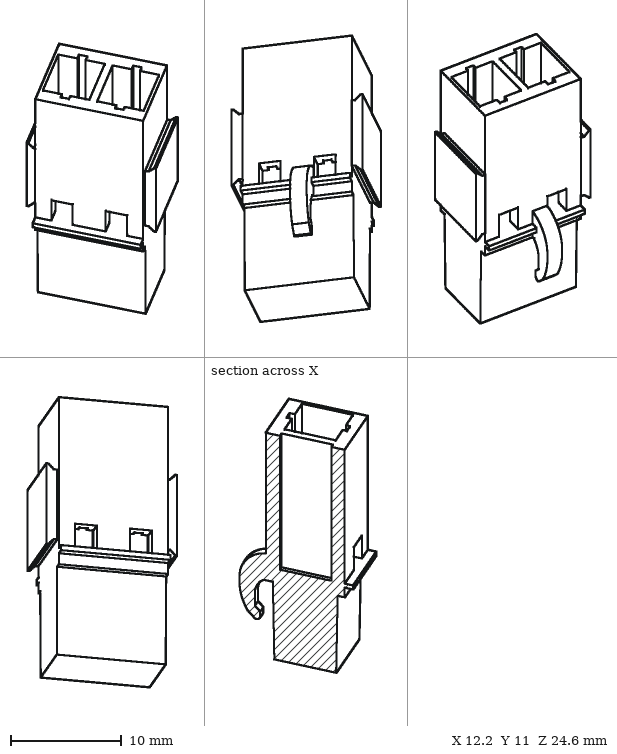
import cadquery as cq

total_height = 24.55
body_width = 10.15
body_depth = 7.64
body_bottom = 8.42
half_width = body_width / 2
back_y = body_depth / 2
front_y = -back_y

foot_inset_top = 0.66
foot_inset_bottom = 0.8

flange_bottom = 9.48
flange_top = 9.97
flange_front_reach = 0.8
flange_back_reach = 0.7

bay_floor = flange_top
bay_width = 4.37
bay_depth = 4.93
bay_front_wall = 1.3
bay_partition = 0.74
bay_pitch = bay_width + bay_partition
bay_centers = (-bay_pitch / 2, bay_pitch / 2)
key_width = 0.79
key_span = 5.85

window_width = 2.01
window_height = 2.5

rail_reach = 1.0
rail_edge = 0.17
rail_neck = 0.32
rail_undercut = 0.52
rail_bottom = 10.53
rail_top = 18.31
rail_front_setback = 0.65
rail_back_overhang = 0.07

hook_width = 1.55
hook_center_x = -0.74
hook_reach = 2.55
hook_top = 11.42
hook_crown_end = 8.47
hook_flank_start = 7.25
hook_gap = 1.03
hook_inner_top = 7.0
hook_inner_bottom = 5.45
hook_tip_gap = 0.52
hook_tip_bottom = 4.0
hook_root = 0.25


def block(x_size, y_min, y_max, z_min, z_max, x_center=0.0):
    """Box centred on x_center, given by its Y and Z limits."""
    size = (x_size, y_max - y_min, z_max - z_min)
    corner = (x_center - x_size / 2, y_min, z_min)
    return cq.Workplane("XY").box(*size, centered=False).translate(corner)


def make_foot():
    top_y = back_y - foot_inset_top
    bottom_y = back_y - foot_inset_bottom
    outline = [(-bottom_y, 0), (bottom_y, 0), (top_y, body_bottom), (-top_y, body_bottom)]
    return cq.Workplane("YZ").polyline(outline).close().extrude(half_width, both=True)


def make_rail():
    """Rail on the +X side; its section lies in the XZ plane."""
    outer_x = half_width + rail_reach
    neck_x = half_width + rail_neck
    outline = [
        (half_width, rail_bottom + rail_undercut),
        (neck_x, rail_bottom + rail_undercut),
        (outer_x - rail_edge, rail_bottom),
        (outer_x, rail_bottom),
        (outer_x, rail_top),
        (outer_x - rail_edge, rail_top),
        (neck_x, rail_top - rail_undercut),
        (half_width, rail_top - rail_undercut),
    ]
    rail_back = back_y + rail_back_overhang
    rail_length = rail_back - (front_y + rail_front_setback)
    section = cq.Workplane("XZ", origin=(0, rail_back, 0)).polyline(outline).close()
    return section.extrude(rail_length)


def make_hook():
    """Curved latch; in its section the first coordinate is the distance behind the back face."""
    plane = cq.Plane(origin=(hook_center_x, back_y, 0), xDir=(0, 1, 0), normal=(1, 0, 0))
    section = (
        cq.Workplane(plane)
        .moveTo(-hook_root, body_bottom)
        .lineTo(-hook_root, hook_top)
        .lineTo(0, hook_top)
        .threePointArc((1.8, 10.38), (hook_reach, hook_crown_end))
        .lineTo(hook_reach, hook_flank_start)
        .threePointArc((2.28, 5.9), (1.77, 4.75))
        .lineTo(hook_gap, hook_tip_bottom)
        .threePointArc((0.65, 4.1), (hook_tip_gap, 4.5))
        .lineTo(hook_tip_gap, 4.9)
        .lineTo(hook_gap, hook_inner_bottom)
        .lineTo(hook_gap, hook_inner_top)
        .threePointArc((0.69, 7.93), (0.22, body_bottom))
        .close()
    )
    return section.extrude(hook_width / 2, both=True)


def cut_bay(housing, center_x):
    bay_front = front_y + bay_front_wall
    bay = block(bay_width, bay_front, bay_front + bay_depth, bay_floor, total_height, center_x)
    keys = block(key_width, -key_span / 2, key_span / 2, bay_floor, total_height, center_x)
    window = block(window_width, front_y, back_y, bay_floor, bay_floor + window_height, center_x)
    return housing.cut(bay).cut(keys).cut(window)


housing = block(body_width, front_y, back_y, body_bottom, total_height)
flange_front = front_y - flange_front_reach
flange_back = back_y + flange_back_reach
flange = block(body_width, flange_front, flange_back, flange_bottom, flange_top)
housing = housing.union(make_foot()).union(flange)

rail = make_rail()
housing = housing.union(rail).union(rail.mirror("YZ")).union(make_hook())

for center_x in bay_centers:
    housing = cut_bay(housing, center_x)

result = housing